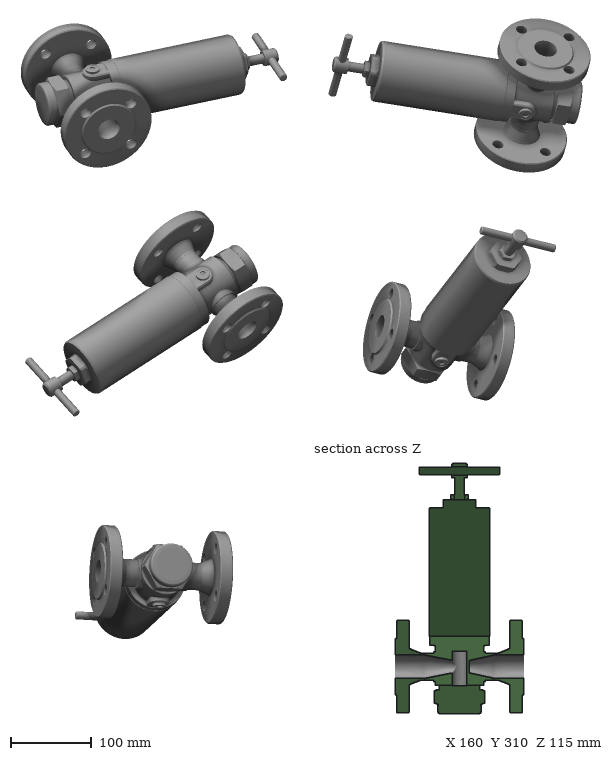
import cadquery as cq
import math


face_x = 80.0
flange_radius = 57.52
flange_back_x = 62.0
face_height = 2.0
face_radius = 34.0
face_bevel = 1.5
flange_chamfer = 1.2
bore_radius = 14.3
bolt_circle_radius = 42.5
bolt_hole_radius = 6.98
bolt_count = 4
neck_radius = 17.0
neck_base_radius = 23.0
neck_fillet_x = 59.2
neck_fillet_radius = 21.5
neck_end_x = 48.0
weld_bevel_x = 45.5
joint_x = 43.5
weld_depth = 0.15

body_radius = 30.0
body_bottom_y = -23.5
body_chamfer = 0.5
collar_radius = 37.2
collar_bottom_y = 26.0
collar_top_y = 37.8
collar_fillet = 2.2
port_boss_radius = 18.5
port_boss_x = 32.2
port_boss_fillet = 1.5
stub_end_x = 41.0
stub_bevel = 0.5
pad_radius = 12.5
pad_center_y = 8.5
pad_height = 35.5
pad_chamfer = 1.5
chamber_radius = 8.7
chamber_top_y = 18.5
throat_radius = 7.5
outlet_end_x = 12.5

plug_radius = 8.7
plug_height = 3.57
plug_bevel_radius = 7.8
plug_bevel_drop = 0.3
plug_recess_flats = 12.5
plug_recess_depth = 0.45
plug_socket_flats = 6.5
plug_socket_depth = 2.5

cap_bottom_y = -58.5
cap_radius = 27.0
cap_relief_radius = 26.5
cap_relief_height = 1.5
cap_neck_radius = 25.0
cap_hex_top_y = -28.2
cap_hex_bottom_y = -46.5
cap_hex_flats = 55.0
cap_hex_chamfer = 1.5
cap_fillet = 2.8
cap_disc_radius = 20.5
cap_disc_height = 0.3

housing_radius = 37.98
housing_top_y = 197.0
housing_top_chamfer = 1.2
housing_top_chamfer_length = 2.2
housing_bottom_chamfer = 0.5
hub_top_y = 206.5
hub_flats = 37.0
hub_round_radius = 20.5
hub_flare_y = 199.5
hub_flare = 1.2

nut_top_y = 213.0
nut_flats = 19.0
nut_chamfer = 1.0
spindle_radius = 6.2
head_radius = 10.0
head_bottom_y = 233.5
head_top_y = 251.5
head_chamfer = 2.0
handle_radius = 5.0
handle_length = 99.8
handle_y = 242.2
handle_chamfer = 1.0


def turned_about_y(points):
    """Solid of revolution about Y from (radius, y) points."""
    return cq.Workplane("XY").polyline(points).close().revolve(360, (0, 0, 0), (0, 1, 0))


def turned_about_x(points):
    """Solid of revolution about X from (x, radius) points."""
    return cq.Workplane("XY").polyline(points).close().revolve(360, (0, 0, 0), (1, 0, 0))


def cylinder_y(radius, bottom_y, top_y):
    return turned_about_y([(0, bottom_y), (radius, bottom_y), (radius, top_y), (0, top_y)])


def hexagon_corners(flats):
    """Distance across the corners of a hexagon of the given width across flats."""
    return flats / math.cos(math.pi / 6)


def hexagon_y(flats, bottom_y, top_y):
    """Hexagonal prism along Y with two corners on the X axis."""
    plane = cq.Workplane("XZ", origin=(0, bottom_y, 0))
    return plane.polygon(6, hexagon_corners(flats)).extrude(bottom_y - top_y)


def chamfered_hexagon_y(flats, bottom_y, top_y, chamfer):
    """Hexagonal prism whose corners are turned off at both ends like a nut's."""
    corner_radius = hexagon_corners(flats) / 2
    end_radius = flats / 2
    envelope = turned_about_y([
        (0, bottom_y), (end_radius, bottom_y), (corner_radius, bottom_y + chamfer),
        (corner_radius, top_y - chamfer), (end_radius, top_y), (0, top_y),
    ])
    return hexagon_y(flats, bottom_y, top_y).intersect(envelope)


def make_flange():
    """Weld-neck flange on the +X side, with a raised face and a bolt circle."""
    shoulder_x = face_x - face_height
    flange = turned_about_x([
        (joint_x, bore_radius),
        (joint_x, neck_radius - weld_depth),
        (weld_bevel_x, neck_radius - weld_depth),
        (weld_bevel_x + weld_depth, neck_radius),
        (neck_end_x, neck_radius),
        (neck_fillet_x, neck_fillet_radius),
        (flange_back_x, neck_base_radius),
        (flange_back_x, flange_radius - flange_chamfer),
        (flange_back_x + flange_chamfer, flange_radius),
        (shoulder_x - flange_chamfer, flange_radius),
        (shoulder_x, flange_radius - flange_chamfer),
        (shoulder_x, face_radius + face_bevel),
        (face_x, face_radius),
        (face_x, bore_radius),
    ])
    bolt_holes = (
        cq.Workplane("YZ", origin=(flange_back_x, 0, 0))
        .polarArray(bolt_circle_radius, 180 / bolt_count, 360, bolt_count)
        .circle(bolt_hole_radius)
        .extrude(face_x - flange_back_x)
    )
    return flange.cut(bolt_holes)


def make_gauge_pad():
    """Flat pad on the +Z side that runs from a round end up to the collar."""
    pad = (
        cq.Workplane("XY")
        .moveTo(-pad_radius, collar_bottom_y)
        .lineTo(-pad_radius, pad_center_y)
        .threePointArc((0, pad_center_y - pad_radius), (pad_radius, pad_center_y))
        .lineTo(pad_radius, collar_bottom_y)
        .close()
        .extrude(pad_height)
    )
    top_rim = pad.faces(">Z").edges("not >Y")
    return top_rim.chamfer(pad_chamfer)


def make_barrel():
    """Round barrel of the valve body with the collar that carries the housing."""
    fillet_start_y = collar_bottom_y - collar_fillet
    fillet_radius = body_radius + collar_fillet
    fillet_middle = collar_fillet * (1 - math.sqrt(0.5))
    return (
        cq.Workplane("XY")
        .moveTo(0, body_bottom_y)
        .lineTo(body_radius - body_chamfer, body_bottom_y)
        .lineTo(body_radius, body_bottom_y + body_chamfer)
        .lineTo(body_radius, fillet_start_y)
        .threePointArc(
            (body_radius + fillet_middle, collar_bottom_y - fillet_middle),
            (fillet_radius, collar_bottom_y),
        )
        .lineTo(collar_radius - body_chamfer, collar_bottom_y)
        .lineTo(collar_radius, collar_bottom_y + body_chamfer)
        .lineTo(collar_radius, collar_top_y)
        .lineTo(0, collar_top_y)
        .close()
        .revolve(360, (0, 0, 0), (0, 1, 0))
    )


def make_body():
    """Barrel with pipe stubs, port bosses and gauge pads, bored for the flow."""
    boss = cq.Workplane("YZ").circle(port_boss_radius).extrude(port_boss_x, both=True)
    body = make_barrel().union(boss)
    body = body.edges("%BSPLINE").fillet(port_boss_fillet)

    stub = turned_about_x([
        (0, 0), (0, neck_radius), (stub_end_x, neck_radius),
        (stub_end_x + stub_bevel, neck_radius - weld_depth),
        (joint_x, neck_radius - weld_depth), (joint_x, 0),
    ])
    inlet = turned_about_x([
        (-joint_x, 0), (-joint_x, bore_radius), (-chamber_radius, throat_radius),
        (0, throat_radius), (0, 0),
    ])
    outlet = turned_about_x([
        (joint_x, 0), (joint_x, bore_radius), (outlet_end_x, throat_radius),
        (outlet_end_x, 0),
    ])
    pad = make_gauge_pad()
    body = body.union(stub).union(stub.mirror("YZ"))
    body = body.union(pad).union(pad.mirror("XY"))
    chamber = cylinder_y(chamber_radius, body_bottom_y, chamber_top_y)
    return body.cut(chamber).cut(inlet).cut(outlet)


def hexagonal_socket(flats, top_z, depth):
    """Hexagonal cutter along Z on the gauge axis, with two flats facing along X."""
    plane = cq.Workplane("XY", origin=(0, pad_center_y, top_z))
    return plane.transformed(rotate=(0, 0, 30)).polygon(6, hexagon_corners(flats)).extrude(-depth)


def make_gauge_plug():
    """Plug on the +Z pad: a bevelled disc with a shallow hexagonal recess and a hexagonal socket."""
    plug = (
        cq.Workplane("XZ", origin=(0, pad_center_y, pad_height))
        .polyline([
            (0, 0), (plug_radius, 0), (plug_radius, plug_height - plug_bevel_drop),
            (plug_bevel_radius, plug_height), (0, plug_height),
        ])
        .close()
        .revolve(360, (0, 0, 0), (0, 1, 0))
    )
    top_z = pad_height + plug_height
    recess = hexagonal_socket(plug_recess_flats, top_z, plug_recess_depth)
    socket = hexagonal_socket(plug_socket_flats, top_z, plug_socket_depth)
    return plug.cut(recess).cut(socket)


def make_bottom_cap():
    """Hexagonal cap with a neck against the body and a rounded end with a shallow cone."""
    neck = cylinder_y(cap_neck_radius, cap_hex_top_y, body_bottom_y)
    hexagon = chamfered_hexagon_y(cap_hex_flats, cap_hex_bottom_y, cap_hex_top_y, cap_hex_chamfer)
    relief_end_y = cap_hex_bottom_y - cap_relief_height
    rim_y = cap_bottom_y + cap_disc_height
    fillet_middle = cap_fillet * math.sqrt(0.5)
    fillet_center_y = rim_y + cap_fillet
    fillet_center_radius = cap_radius - cap_fillet
    end = (
        cq.Workplane("XY")
        .moveTo(0, cap_hex_bottom_y)
        .lineTo(cap_relief_radius, cap_hex_bottom_y)
        .lineTo(cap_relief_radius, relief_end_y)
        .lineTo(cap_radius, relief_end_y)
        .lineTo(cap_radius, fillet_center_y)
        .threePointArc(
            (fillet_center_radius + fillet_middle, fillet_center_y - fillet_middle),
            (fillet_center_radius, rim_y),
        )
        .lineTo(cap_disc_radius, cap_bottom_y)
        .lineTo(0, cap_bottom_y)
        .close()
        .revolve(360, (0, 0, 0), (0, 1, 0))
    )
    return neck.union(hexagon).union(end)


def make_housing():
    """Round spring housing with a hexagonal hub that flares out where it meets the top."""
    barrel = turned_about_y([
        (0, collar_top_y), (housing_radius - housing_bottom_chamfer, collar_top_y),
        (housing_radius, collar_top_y + housing_bottom_chamfer),
        (housing_radius, housing_top_y - housing_top_chamfer_length),
        (housing_radius - housing_top_chamfer, housing_top_y), (0, housing_top_y),
    ])
    hexagon = hexagon_y(hub_flats, housing_top_y, hub_top_y)
    flare = (
        cq.Workplane("XZ", origin=(0, hub_flare_y, 0))
        .polygon(6, hexagon_corners(hub_flats))
        .workplane(offset=hub_flare_y - housing_top_y)
        .polygon(6, hexagon_corners(hub_flats + 2 * hub_flare))
        .loft(ruled=True)
    )
    hub_envelope = cylinder_y(hub_round_radius, housing_top_y, hub_top_y)
    hub = hexagon.union(flare).intersect(hub_envelope)
    return barrel.union(hub)


def make_lock_nut():
    nut = chamfered_hexagon_y(nut_flats, hub_top_y, nut_top_y, nut_chamfer)
    return nut.cut(cylinder_y(spindle_radius, hub_top_y, nut_top_y))


def make_handle():
    """Straight bar along X with chamfered ends."""
    bar = cq.Workplane("YZ", origin=(-handle_length / 2, handle_y, 0))
    return bar.circle(handle_radius).extrude(handle_length).faces("<X or >X").chamfer(handle_chamfer)


def make_spindle():
    """Rod that stands on the hub, with a head cross-drilled for the handle."""
    spindle = turned_about_y([
        (0, hub_top_y), (spindle_radius, hub_top_y), (spindle_radius, head_bottom_y),
        (head_radius, head_bottom_y), (head_radius, head_top_y - head_chamfer),
        (head_radius - head_chamfer, head_top_y), (0, head_top_y),
    ])
    cross_hole = (
        cq.Workplane("YZ", origin=(0, handle_y, 0))
        .circle(handle_radius)
        .extrude(head_radius, both=True)
    )
    return spindle.cut(cross_hole)


body = make_body()
bottom_cap = make_bottom_cap()
housing = make_housing()
lock_nut = make_lock_nut()
spindle = make_spindle()
handle = make_handle()

flanges = []
for turn in (0, 180):
    flanges.append(make_flange().rotate((0, 0, 0), (0, 1, 0), turn))

gauge_plugs = []
for turn in (0, 180):
    gauge_plugs.append(make_gauge_plug().rotate((0, 0, 0), (0, 1, 0), turn))

result = cq.Compound.makeCompound([
    body.val(),
    bottom_cap.val(),
    housing.val(),
    lock_nut.val(),
    spindle.val(),
    handle.val(),
    *[flange.val() for flange in flanges],
    *[gauge_plug.val() for gauge_plug in gauge_plugs],
])